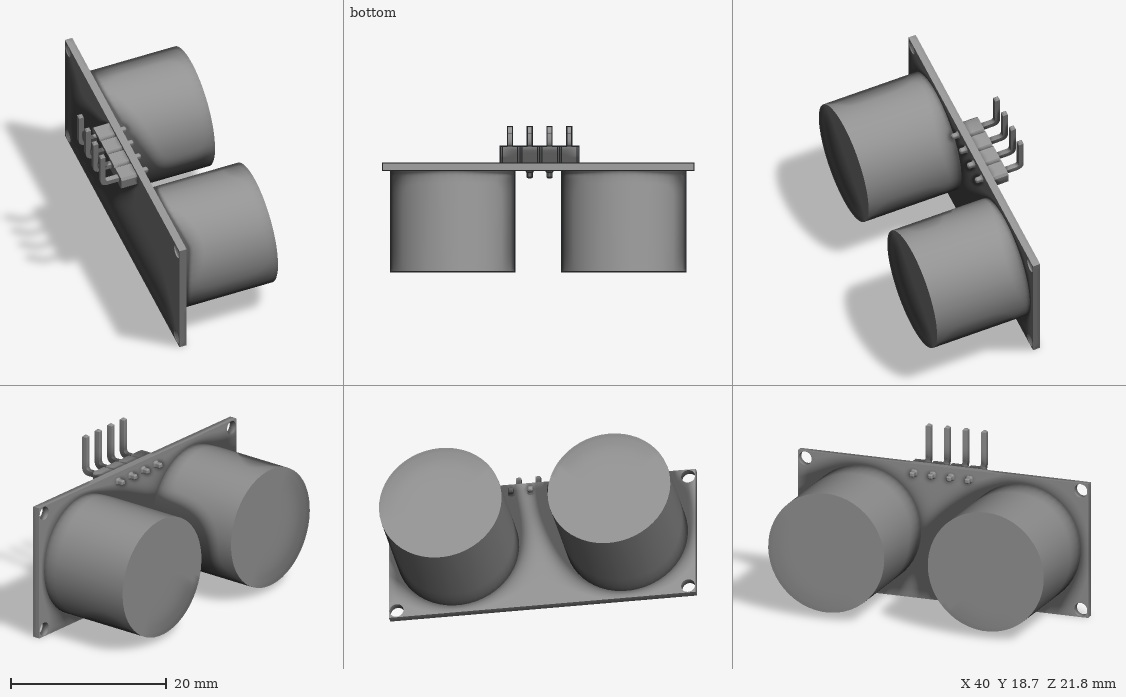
import cadquery as cq


BOARD_LENGTH = 40.0
BOARD_HEIGHT = 18.0
BOARD_THICKNESS = 1.0
MOUNT_HOLE_DIAMETER = 1.8
MOUNT_HOLE_INSET = 1.0
BOARD_TOP = BOARD_HEIGHT / 2

CAN_DIAMETER = 16.0
CAN_DEPTH = 13.0
CAN_INSET = 1.0
CAN_OFFSET = BOARD_LENGTH / 2 - CAN_INSET - CAN_DIAMETER / 2

PIN_COUNT = 4
HOUSING_LENGTH = 10.15
HOUSING_HEIGHT = 1.9
HOUSING_DEPTH = 2.15
HOUSING_CHAMFER = 0.3
HOUSING_CENTER_X = 0.18
HOUSING_TOP_INSET = 0.35
HOUSING_CENTER_Z = BOARD_TOP - HOUSING_TOP_INSET - HOUSING_HEIGHT / 2
PIN_PITCH = HOUSING_LENGTH / PIN_COUNT

PIN_WIDTH = 0.7
PIN_REACH = 4.7
PIN_RISE = 3.8
PIN_AXIS_INSET = 1.25
PIN_TIP_CHAMFER = 0.2
BEND_INNER_RADIUS = 0.4
BEND_OUTER_RADIUS = 0.9
PIN_AXIS_Z = BOARD_TOP - PIN_AXIS_INSET
PIN_TOP_Z = BOARD_TOP + PIN_RISE

TAIL_LENGTH = 0.95
TAIL_EDGE_RADIUS = 0.2
TAIL_TIP_CHAMFER = 0.15
FLARE_HEIGHT = 0.25
FLARE_SPREAD = 0.15


def make_board():
    hole_span_x = BOARD_LENGTH - 2 * MOUNT_HOLE_INSET
    hole_span_z = BOARD_HEIGHT - 2 * MOUNT_HOLE_INSET
    return (
        cq.Workplane("ZX")
        .rect(BOARD_HEIGHT, BOARD_LENGTH)
        .extrude(BOARD_THICKNESS)
        .faces(">Y")
        .workplane()
        .rarray(hole_span_x, hole_span_z, 2, 2)
        .hole(MOUNT_HOLE_DIAMETER)
    )


def make_cans():
    return (
        cq.Workplane("ZX", origin=(0, BOARD_THICKNESS, 0))
        .pushPoints([(0, -CAN_OFFSET), (0, CAN_OFFSET)])
        .circle(CAN_DIAMETER / 2)
        .extrude(CAN_DEPTH)
    )


def make_housing_cell(x):
    return (
        cq.Workplane("XZ", origin=(x, 0, HOUSING_CENTER_Z))
        .rect(PIN_PITCH, HOUSING_HEIGHT)
        .extrude(HOUSING_DEPTH)
        .edges("|Y")
        .chamfer(HOUSING_CHAMFER)
    )


def make_bent_pin(x):
    """L-shaped square pin running out of the board and then upward."""
    bottom = PIN_AXIS_Z - PIN_WIDTH / 2
    top = PIN_AXIS_Z + PIN_WIDTH / 2
    leg_front = -PIN_REACH
    leg_back = leg_front + PIN_WIDTH
    pin = (
        cq.Workplane("YZ", origin=(x - PIN_WIDTH / 2, 0, 0))
        .moveTo(0, bottom)
        .lineTo(leg_front + BEND_OUTER_RADIUS, bottom)
        .radiusArc((leg_front, bottom + BEND_OUTER_RADIUS), BEND_OUTER_RADIUS)
        .lineTo(leg_front, PIN_TOP_Z)
        .lineTo(leg_back, PIN_TOP_Z)
        .lineTo(leg_back, top + BEND_INNER_RADIUS)
        .radiusArc((leg_back + BEND_INNER_RADIUS, top), -BEND_INNER_RADIUS)
        .lineTo(0, top)
        .close()
        .extrude(PIN_WIDTH)
    )
    return pin.faces(">Z").chamfer(PIN_TIP_CHAMFER)


def tail_section(spread):
    """Rounded square of the pin tail, grown outward by spread."""
    width = PIN_WIDTH + 2 * spread
    return cq.Sketch().rect(width, width).vertices().fillet(TAIL_EDGE_RADIUS + spread)


def make_tail(x):
    """Pin end standing out of the +Y face of the board."""
    base = cq.Workplane("ZX", origin=(x, BOARD_THICKNESS, PIN_AXIS_Z))
    tail = (
        base.placeSketch(tail_section(0))
        .extrude(TAIL_LENGTH)
        .faces(">Y")
        .chamfer(TAIL_TIP_CHAMFER)
    )
    flare_end = cq.Location(cq.Vector(0, 0, FLARE_HEIGHT))
    flare = base.placeSketch(tail_section(FLARE_SPREAD), tail_section(0).moved(flare_end)).loft()
    return tail.union(flare)


result = make_board().union(make_cans())
for index in range(PIN_COUNT):
    pin_x = HOUSING_CENTER_X + (index - (PIN_COUNT - 1) / 2) * PIN_PITCH
    result = result.union(make_housing_cell(pin_x))
    result = result.union(make_bent_pin(pin_x))
    result = result.union(make_tail(pin_x))